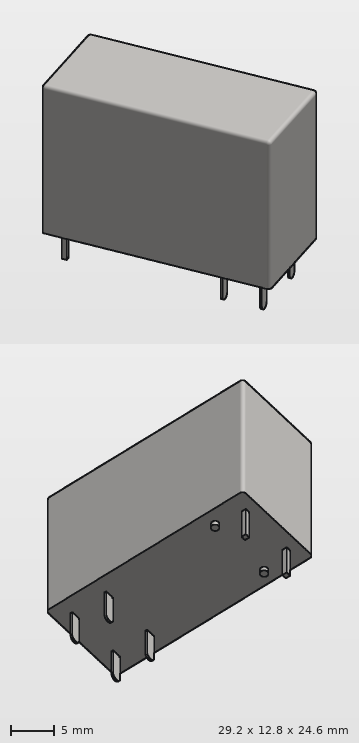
import cadquery as cq

case_length = 29.2
case_width = 12.82
total_height = 24.6
blade_length = 4.58
case_height = total_height - blade_length
case_edge_radius = 0.47

row_spacing = 7.5
row_offsets = (-row_spacing / 2, row_spacing / 2)

square_pin_x = 1.8
square_pin_side = 0.65
square_pin_length = 4.45

first_blade_x = 22.05
blade_spacing = 5.02
blade_positions = (first_blade_x, first_blade_x + blade_spacing)
blade_width = 1.28
blade_thickness = 0.25

standoff_x = 5.7
standoff_spacing = 9.0
standoff_diameter = 1.0
standoff_height = 0.65


def make_case():
    """Box with rounded vertical and top edges and a sharp bottom rim."""
    box = cq.Workplane("XY").box(case_length, case_width, case_height, centered=(False, True, False))
    return box.edges("|Z or >Z").fillet(case_edge_radius)


def make_square_pins():
    """One square pin in each row, flat at the tip."""
    return (
        cq.Workplane("XY")
        .pushPoints([(square_pin_x, y) for y in row_offsets])
        .rect(square_pin_side, square_pin_side)
        .extrude(-square_pin_length)
    )


def make_blade(x, y):
    """Thin blade facing along X, ending in a half-round tip."""
    half_width = blade_width / 2
    tip_start = half_width - blade_length
    return (
        cq.Workplane("YZ", origin=(x, y, 0))
        .moveTo(-half_width, 0)
        .lineTo(-half_width, tip_start)
        .threePointArc((0, -blade_length), (half_width, tip_start))
        .lineTo(half_width, 0)
        .close()
        .extrude(blade_thickness / 2, both=True)
    )


def make_standoffs():
    """Pair of short round feet, one on each side of the XZ plane."""
    return (
        cq.Workplane("XY")
        .pushPoints([(standoff_x, -standoff_spacing / 2), (standoff_x, standoff_spacing / 2)])
        .circle(standoff_diameter / 2)
        .extrude(-standoff_height)
    )


result = make_case().union(make_square_pins()).union(make_standoffs())
for blade_x in blade_positions:
    for blade_y in row_offsets:
        result = result.union(make_blade(blade_x, blade_y))